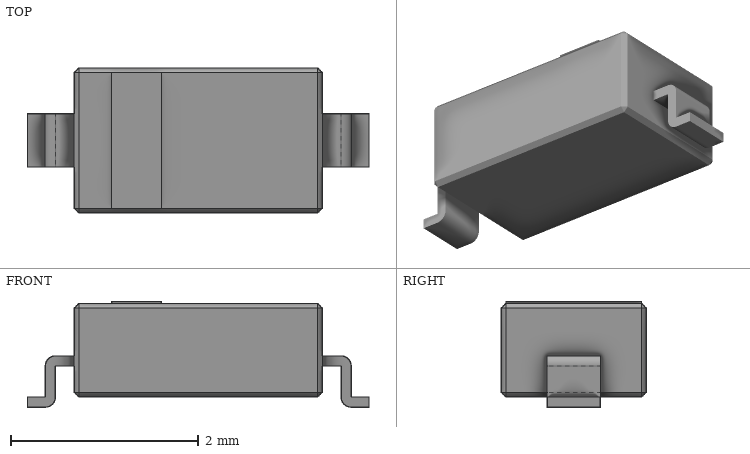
import cadquery as cq

overall_length = 3.65
overall_height = 1.13

body_length = 2.65
body_width = 1.55
body_height = 1.0
body_chamfer = 0.05

lead_thickness = 0.11
lead_width = 0.57
lead_top = 0.55
foot_length = 0.3
bend_radius = lead_thickness

band_offset = 0.4
band_length = 0.53

body_bottom = lead_thickness
body_top = body_bottom + body_height
band_height = overall_height - body_top


def make_body():
    """Rectangular moulding with every edge chamfered."""
    block = cq.Workplane("XY").workplane(offset=body_bottom).rect(body_length, body_width).extrude(body_height)
    return block.edges().chamfer(body_chamfer)


def make_band():
    """Thin raised stripe across the flat of the top face, near the -X end."""
    band_center = -body_length / 2 + band_offset + band_length / 2
    band_width = body_width - 2 * body_chamfer
    return (
        cq.Workplane("XY")
        .workplane(offset=body_top)
        .center(band_center, 0)
        .rect(band_length, band_width)
        .extrude(band_height)
    )


def make_left_lead():
    """Z-shaped lead at the -X end: rounded outside each bend, sharp inside."""
    toe = -overall_length / 2
    body_end = -body_length / 2
    riser_inner = toe + foot_length
    riser_outer = riser_inner - lead_thickness
    profile = (
        cq.Workplane("XZ")
        .moveTo(toe, 0)
        .lineTo(riser_inner - bend_radius, 0)
        .radiusArc((riser_inner, bend_radius), -bend_radius)
        .lineTo(riser_inner, lead_top - lead_thickness)
        .lineTo(body_end, lead_top - lead_thickness)
        .lineTo(body_end, lead_top)
        .lineTo(riser_outer + bend_radius, lead_top)
        .radiusArc((riser_outer, lead_top - bend_radius), -bend_radius)
        .lineTo(riser_outer, lead_thickness)
        .lineTo(toe, lead_thickness)
        .close()
    )
    return profile.extrude(lead_width / 2, both=True)


left_lead = make_left_lead()
right_lead = left_lead.mirror("YZ")

result = make_body().union(make_band()).union(left_lead).union(right_lead)